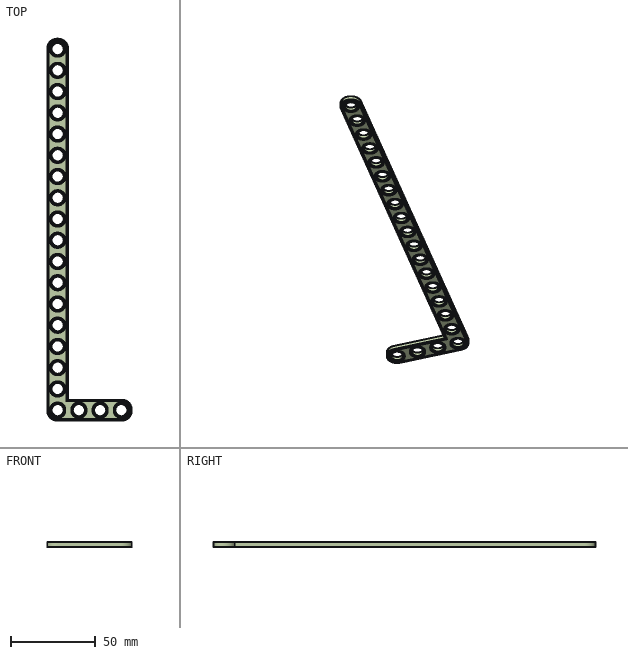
import cadquery as cq

pitch = 12.5
long_arm_holes = 18
short_arm_holes = 4

width = pitch
thickness = pitch / 4
edge_chamfer = 0.3

hole_diameter = 7.0
collar_diameter = 9.2
rim_width = (collar_diameter - hole_diameter) / 2
recess_depth = 0.2

long_arm_span = (long_arm_holes - 1) * pitch
short_arm_span = (short_arm_holes - 1) * pitch
recess_width = width - 2 * rim_width
hole_centres = [(0, i * pitch) for i in range(long_arm_holes)]
hole_centres += [(i * pitch, 0) for i in range(1, short_arm_holes)]


def make_arm(span, arm_width, height):
    """Round-ended strip along +X whose end centres are the origin and (span, 0)."""
    return (
        cq.Workplane("XY")
        .center(span / 2, 0)
        .slot2D(span + arm_width, arm_width)
        .extrude(height)
    )


def make_angle(arm_width, height):
    """L-shaped plate: the short arm along +X and the long arm along +Y."""
    short_arm = make_arm(short_arm_span, arm_width, height)
    long_arm = make_arm(long_arm_span, arm_width, height).rotate((0, 0, 0), (0, 0, 1), 90)
    return short_arm.union(long_arm).clean()


def make_discs(diameter, height):
    """One disc on every hole centre."""
    return cq.Workplane("XY").pushPoints(hole_centres).circle(diameter / 2).extrude(height)


def make_recess():
    """Recess of one face, leaving the collars standing."""
    return make_angle(recess_width, recess_depth).cut(make_discs(collar_diameter, recess_depth))


def make_drilled_plate():
    """L-shaped plate with its holes, chamfered on the outline and hole edges of both faces."""
    plate = make_angle(width, thickness).cut(make_discs(hole_diameter, thickness))
    return plate.faces("<Z or >Z").edges().chamfer(edge_chamfer)


result = make_drilled_plate()
for recess_bottom in (0, thickness - recess_depth):
    result = result.cut(make_recess().translate((0, 0, recess_bottom)))